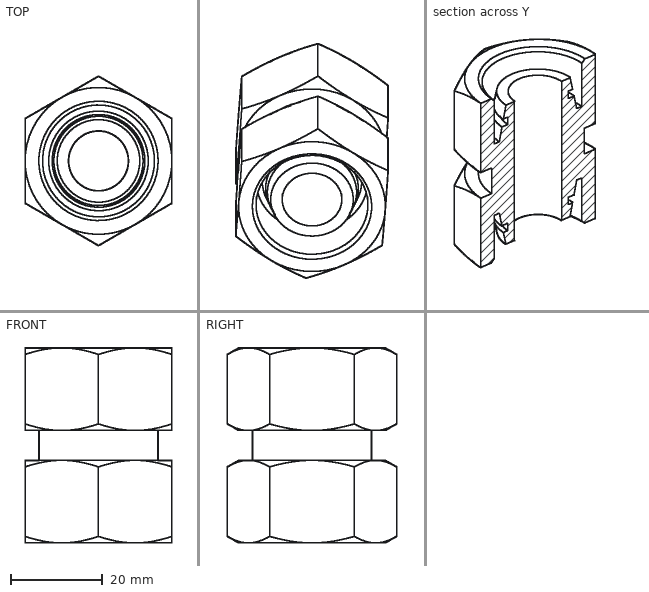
import cadquery as cq
import math

total_length = 42.5
nut_height = 18.0
across_flats = 32.0
hexagon_sides = 6
half_side_angle = 180 / hexagon_sides
across_corners = across_flats / math.cos(math.radians(half_side_angle))
neck_diameter = 26.0

corner_chamfer_angle = 30.0

thread_diameter = 26.0
core_diameter = 24.38
lead_in_depth = (thread_diameter - core_diameter) / 2

bore_diameter = 13.0
cone_half_angle = 12.0
cone_tip_diameter = 18.0
cone_base_diameter = 21.7
cone_tip_depth = 3.25
groove_upper_diameter = 19.45
groove_lower_diameter = 20.2
groove_floor_diameter = 17.0

half_length = total_length / 2
cone_tip_z = half_length - cone_tip_depth


def cone_z(diameter):
    """Height at which the upper sealing cone has the given diameter."""
    drop = (diameter - cone_tip_diameter) / 2 / math.tan(math.radians(cone_half_angle))
    return cone_tip_z - drop


def revolve_about_z(radius_height_points):
    """Solid of revolution about Z from (radius, height) points."""
    return cq.Workplane("XZ").polyline(radius_height_points).close().revolve(360, (0, 0), (0, 1))


def make_upper_nut():
    """Solid hexagon with flats facing X and both ends chamfered."""
    base_z = half_length - nut_height
    face_radius = across_flats / 2
    corner_radius = across_corners / 2
    drop = (corner_radius - face_radius) * math.tan(math.radians(corner_chamfer_angle))
    hexagon = (
        cq.Workplane("XY", origin=(0, 0, base_z))
        .polygon(hexagon_sides, across_corners)
        .extrude(nut_height)
        .rotate((0, 0, 0), (0, 0, 1), half_side_angle)
    )
    envelope = revolve_about_z([
        (0, base_z),
        (face_radius, base_z),
        (corner_radius, base_z + drop),
        (corner_radius, half_length - drop),
        (face_radius, half_length),
        (0, half_length),
    ])
    return hexagon.intersect(envelope)


def make_upper_socket():
    """Cavity of the upper nut: all the space around the grooved sealing cone."""
    floor_z = cone_z(cone_base_diameter)
    groove_upper_z = cone_z(groove_upper_diameter)
    groove_lower_z = cone_z(groove_lower_diameter)
    return revolve_about_z([
        (0, half_length),
        (thread_diameter / 2, half_length),
        (core_diameter / 2, half_length - lead_in_depth),
        (core_diameter / 2, floor_z),
        (cone_base_diameter / 2, floor_z),
        (groove_lower_diameter / 2, groove_lower_z),
        (groove_floor_diameter / 2, groove_lower_z),
        (groove_floor_diameter / 2, groove_upper_z),
        (groove_upper_diameter / 2, groove_upper_z),
        (cone_tip_diameter / 2, cone_tip_z),
        (0, cone_tip_z),
    ])


def make_centred_cylinder(diameter, length):
    """Cylinder on the Z axis, centred on the origin."""
    return cq.Workplane("XY").circle(diameter / 2).extrude(length / 2, both=True)


neck_length = total_length - 2 * nut_height
upper_end = make_upper_nut().cut(make_upper_socket())
lower_end = upper_end.mirror("XY")
neck = make_centred_cylinder(neck_diameter, neck_length)
bore = make_centred_cylinder(bore_diameter, total_length)

result = neck.union(upper_end).union(lower_end).cut(bore)